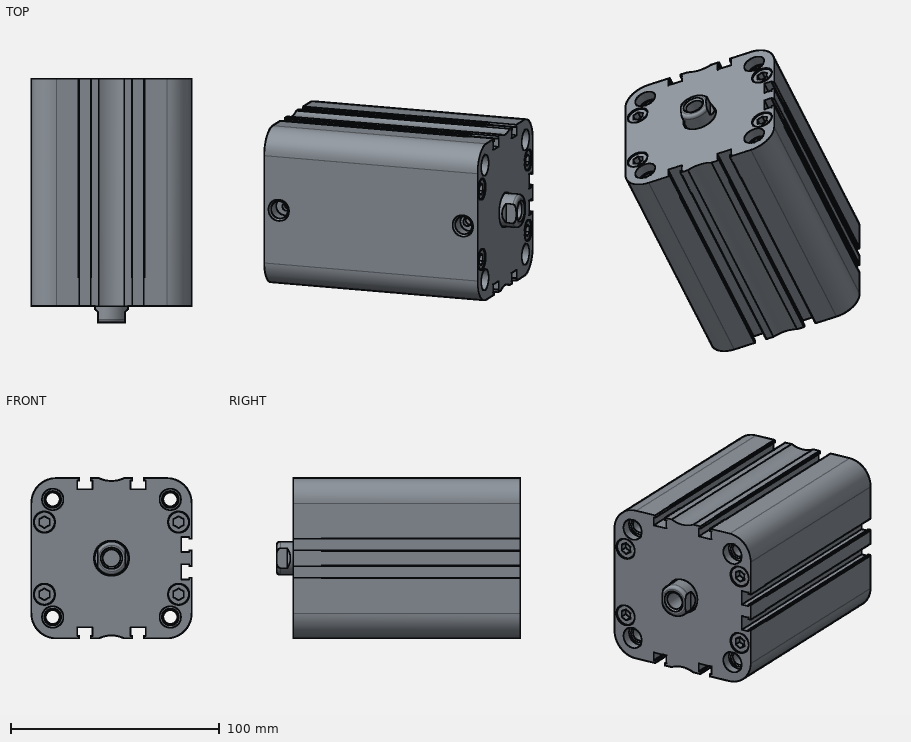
import cadquery as cq


length = 117.0
body_side = 77.0
body_length = 109.0
corner_radius = 12.0
front_cap_length = 13.8
half_side = body_side / 2
front_face = -body_length / 2
rear_face = body_length / 2
rod_tip = rear_face - length

slot_neck = 5.5
slot_width = 7.1
top_slot_depth = 5.4
side_slot_depth = 5.0
lip_thickness = 1.3
lip_chamfer = 0.4
top_slot_offset = 12.8
side_slot_offset = 6.5

groove_width = 12.2
groove_depth = 1.4

mount_offset = 28.2
mount_hole = 6.7
mount_sink = 8.1
mount_counterbore = 10.3
mount_counterbore_depth = 5.0

screw_x = 32.2
screw_z = 17.3
screw_pocket = 10.3
screw_head = 9.8
screw_recess = 0.5
screw_gap_depth = 2.3
socket_flats = 4.9
socket_depth = 3.7

port_inset = 7.5
port_thread = 8.5
port_mouth = 10.5
port_depth = 8.2
passage = 4.0
passage_inset = 8.3
passage_depth = 11.7

rod_diameter = 16.0
rod_seat = 17.0
rod_seat_depth = 2.3
rod_flats = 13.0
flat_start = 2.8
rod_bore = 8.4
rod_bore_mouth = 10.3
rod_end_face = 12.5
rod_bore_depth = 14.0


def disc(diameter, x, z, start, depth):
    """Cylinder along Y from `start` towards +Y."""
    circle = cq.Workplane("XZ", origin=(x, start, z)).circle(diameter / 2)
    return circle.extrude(-depth)


def cone(start_diameter, end_diameter, x, z, start):
    """45-degree cone along Y, narrowing from `start` towards +Y."""
    height = (start_diameter - end_diameter) / 2
    return cq.Workplane(
        cq.Solid.makeCone(
            start_diameter / 2,
            end_diameter / 2,
            height,
            pnt=cq.Vector(x, start, z),
            dir=cq.Vector(0, 1, 0),
        )
    )


def mirrored_positions(x, z):
    return [(sx * x, sz * z) for sx in (-1, 1) for sz in (-1, 1)]


def along_body(outline):
    """Extrude an XZ outline over the whole body length."""
    return outline.extrude(-body_length)


def front_sketch():
    return cq.Workplane("XZ", origin=(0, front_face, 0))


def make_body():
    return along_body(front_sketch().rect(body_side, body_side)).edges("|Y").fillet(corner_radius)


def t_slot(offset, slot_depth):
    """T-slot in the top face; its lips are chamfered behind the front cap."""
    neck = along_body(
        front_sketch().center(offset, half_side - slot_depth / 2).rect(slot_neck, slot_depth)
    )
    channel_height = slot_depth - lip_thickness
    channel = along_body(
        front_sketch()
        .center(offset, half_side - slot_depth + channel_height / 2)
        .rect(slot_width, channel_height)
    )
    inner = slot_neck / 2
    outer = inner + lip_chamfer
    lead_in = (
        cq.Workplane("XZ", origin=(offset, front_face + front_cap_length, half_side))
        .polyline([(-outer, 0), (outer, 0), (inner, -lip_chamfer), (-inner, -lip_chamfer)])
        .close()
        .extrude(front_cap_length - body_length)
    )
    return neck.union(channel).union(lead_in)


def top_groove():
    """Circular-arc groove along the middle of the top face."""
    edge = groove_width / 2
    return along_body(
        front_sketch()
        .moveTo(-edge, half_side)
        .threePointArc((0, half_side - groove_depth), (edge, half_side))
        .close()
    )


def turn(shape, angle):
    """Rotate about the rod axis."""
    return shape.rotate((0, 0, 0), (0, 1, 0), angle)


def mounting_hole(x, z):
    """Through hole with a front counterbore and a small countersink in its floor."""
    floor = front_face + mount_counterbore_depth
    return (
        disc(mount_hole, x, z, front_face, body_length)
        .union(disc(mount_counterbore, x, z, front_face, mount_counterbore_depth))
        .union(cone(mount_sink, mount_hole, x, z, floor))
    )


def screw_cut(x, z):
    """Narrow gap around the recessed screw head, with the hexagon socket."""
    head_face = front_face + screw_recess
    gap = disc(screw_pocket, x, z, front_face, screw_gap_depth)
    head = disc(screw_head, x, z, head_face, screw_gap_depth)
    socket = (
        cq.Workplane("XZ", origin=(x, head_face, z))
        .polygon(6, socket_flats, circumscribed=True)
        .extrude(-socket_depth)
    )
    return gap.cut(head).union(socket)


def air_port(port_y, passage_y):
    """Threaded port in the -X face with a small off-centre passage in its floor."""
    mouth_depth = (port_mouth - port_thread) / 2
    thread = cq.Workplane("YZ", origin=(-half_side, port_y, 0)).circle(port_thread / 2)
    mouth = cq.Solid.makeCone(
        port_mouth / 2,
        port_thread / 2,
        mouth_depth,
        pnt=cq.Vector(-half_side, port_y, 0),
        dir=cq.Vector(1, 0, 0),
    )
    channel = cq.Workplane("YZ", origin=(-half_side, passage_y, 0)).circle(passage / 2)
    return thread.extrude(port_depth).union(mouth).union(channel.extrude(passage_depth))


def make_rod():
    """Rod with a rounded end and two wrench flats, without its bore."""
    rod_length = front_face + rod_seat_depth - rod_tip
    end_radius = (rod_diameter - rod_end_face) / 2
    rod = disc(rod_diameter, 0, 0, rod_tip, rod_length).faces("<Y").edges().fillet(end_radius)

    flat_end = front_face - flat_start
    half_flats = rod_flats / 2
    flat_height = rod_diameter / 2 - half_flats
    flat_cut = (
        cq.Workplane("XY")
        .moveTo(half_flats, rod_tip)
        .lineTo(half_flats, flat_end)
        .lineTo(half_flats + flat_height, flat_end + flat_height)
        .lineTo(half_flats + flat_height, rod_tip)
        .close()
        .extrude(rod_diameter / 2, both=True)
    )
    return rod.cut(flat_cut).cut(turn(flat_cut, 180))


def rod_bore_cut():
    """Blind bore with a chamfered mouth."""
    bore = disc(rod_bore, 0, 0, rod_tip, rod_bore_depth)
    return bore.union(cone(rod_bore_mouth, rod_bore, 0, 0, rod_tip))


result = make_body()

for side in (-1, 1):
    top_slot = t_slot(side * top_slot_offset, top_slot_depth)
    result = result.cut(top_slot).cut(turn(top_slot, 180))
    side_slot = t_slot(side * side_slot_offset, side_slot_depth)
    result = result.cut(turn(side_slot, 90))
result = result.cut(top_groove()).cut(turn(top_groove(), 180))

for x, z in mirrored_positions(mount_offset, mount_offset):
    result = result.cut(mounting_hole(x, z))
for x, z in mirrored_positions(screw_x, screw_z):
    result = result.cut(screw_cut(x, z))

result = result.cut(air_port(front_face + port_inset, front_face + passage_inset))
result = result.cut(air_port(rear_face - port_inset, rear_face - passage_inset))

result = result.cut(disc(rod_seat, 0, 0, front_face, rod_seat_depth))
result = result.union(make_rod()).cut(rod_bore_cut())

result = result.translate((0, (length - body_length) / 2, 0))